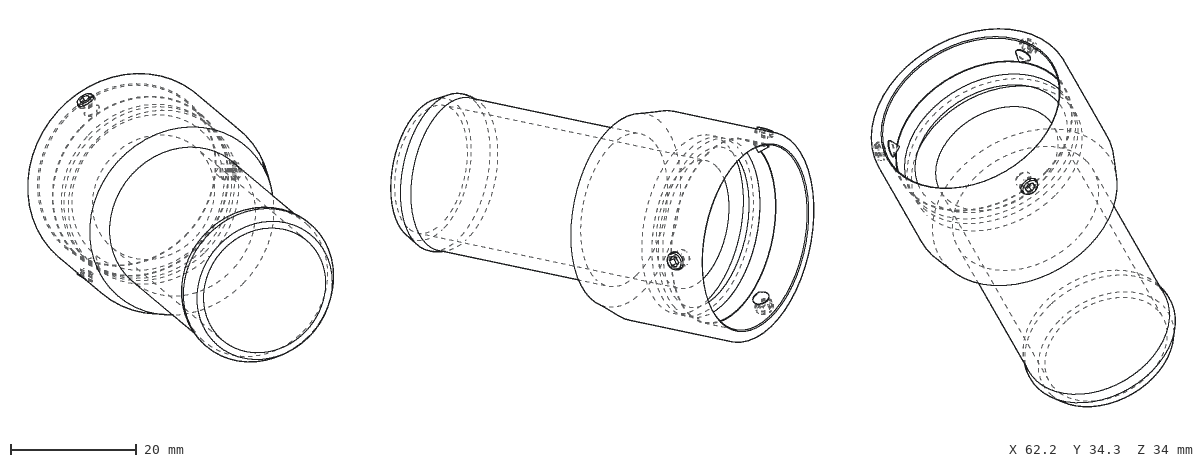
import cadquery as cq
import math

length = 62.2

collar_radius = 34.0 / 2
collar_rounding = 0.5
collar_straight_end = 20.0
collar_taper_end = 24.9
collar_end_radius = 15.7
tube_start = 25.2
tube_radius = 24.8 / 2
bead_start = 57.7
bead_end = 59.45
bead_height = 0.4
bead_crown_offset = 0.25
tip_radius = 11.5

socket_radius = 30.0 / 2
socket_mouth_chamfer = 0.2
socket_end = 6.15
seat_step = 0.1
seat_radius = 29.0 / 2
seat_start = 7.6
shoulder_x = 12.05
bore_radius = 20.8 / 2

ring_section_radius = 0.9
ring_inner_radius = 13.0
ring_center_x = 9.5

screw_count = 3
screw_x = 4.0
screw_radius = 2.7 / 2
screw_hole_radius = 3.0 / 2
screw_gap_depth = 0.5
screw_protrusion = 0.3
screw_tip = 13.5
hex_across_flats = 1.5
hex_depth = 1.25


def make_body():
    """Revolve the collar, tube and end bead."""
    bead_crown = ((bead_start + bead_end) / 2 + bead_crown_offset, tube_radius + bead_height)
    return (
        cq.Workplane("XY")
        .moveTo(0, 0)
        .lineTo(0, collar_radius - collar_rounding)
        .radiusArc((collar_rounding, collar_radius), collar_rounding)
        .lineTo(collar_straight_end, collar_radius)
        .lineTo(collar_taper_end, collar_end_radius)
        .lineTo(tube_start, tube_radius)
        .lineTo(bead_start, tube_radius)
        .threePointArc(bead_crown, (bead_end, tube_radius + bead_height))
        .lineTo(length, tip_radius)
        .lineTo(length, 0)
        .close()
        .revolve(360, (0, 0), (1, 0))
    )


def make_cavity():
    """Revolve the stepped socket and the through bore."""
    return (
        cq.Workplane("XY")
        .moveTo(0, 0)
        .lineTo(0, socket_radius + socket_mouth_chamfer)
        .lineTo(socket_mouth_chamfer, socket_radius)
        .lineTo(socket_end, socket_radius)
        .lineTo(socket_end, socket_radius - seat_step)
        .lineTo(seat_start, seat_radius)
        .lineTo(shoulder_x, seat_radius)
        .lineTo(shoulder_x, bore_radius)
        .lineTo(length, bore_radius)
        .lineTo(length, 0)
        .close()
        .revolve(360, (0, 0), (1, 0))
    )


def make_seal():
    """Round ring partly sunk into the seat wall."""
    return (
        cq.Workplane("XY")
        .center(ring_center_x, ring_inner_radius + ring_section_radius)
        .circle(ring_section_radius)
        .revolve(360, (0, -ring_inner_radius - ring_section_radius),
                 (1, -ring_inner_radius - ring_section_radius))
    )


def make_screw():
    """Cone-point set screw along +Y with a hexagon socket in its head."""
    head_y = collar_radius + screw_protrusion
    cone_base_y = screw_tip + screw_radius
    screw = (
        cq.Workplane("XY")
        .moveTo(screw_x, screw_tip)
        .lineTo(screw_x + screw_radius, cone_base_y)
        .lineTo(screw_x + screw_radius, head_y)
        .lineTo(screw_x, head_y)
        .close()
        .revolve(360, (screw_x, 0), (screw_x, 1))
    )
    hex_socket = (
        cq.Workplane("XZ", origin=(screw_x, head_y, 0))
        .polygon(6, hex_across_flats / math.cos(math.pi / 6))
        .extrude(hex_depth)
    )
    return screw, hex_socket


def make_screw_hole():
    """Shallow clearance hole around the screw head, along +Y."""
    floor_y = collar_radius - screw_gap_depth
    return (
        cq.Workplane("XZ", origin=(screw_x, floor_y, 0))
        .circle(screw_hole_radius)
        .extrude(-(screw_gap_depth + screw_protrusion))
    )


def turn(shape, angle):
    """Rotate a shape about the part axis."""
    return shape.rotate((0, 0, 0), (1, 0, 0), angle)


result = make_body().cut(make_cavity()).union(make_seal())
screw, hex_socket = make_screw()
screw_hole = make_screw_hole()
for index in range(screw_count):
    angle = index * 360 / screw_count
    result = result.cut(turn(screw_hole, angle))
    result = result.union(turn(screw, angle))
    result = result.cut(turn(hex_socket, angle))